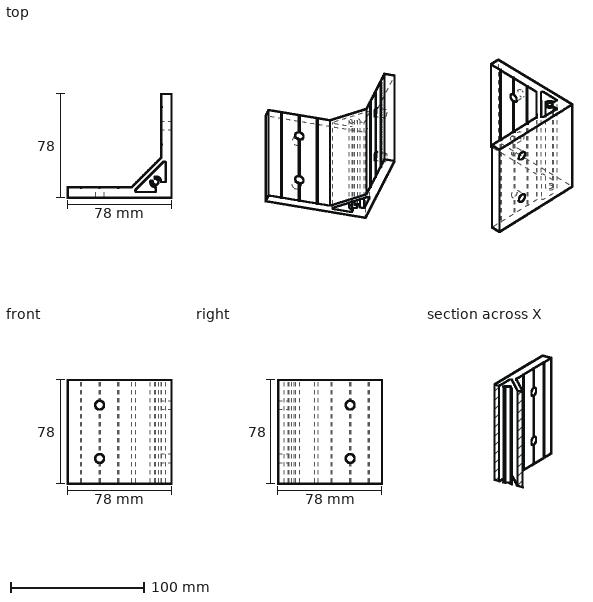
import cadquery as cq
import math

leg_length = 78.0
height = 78.0
leg_thickness = 8.0

web_reach = 30.0
web_thickness = 3.5
cavity_wall = 4.5
cavity_tip_radius = 1.0
corner_block = 12.0

channel_inner_radius = 2.1
channel_outer_radius = 4.1

hole_diameter = 6.5
hole_from_tip = 24.0
hole_spacing = 40.0
groove_spacing = 14.0
groove_width = 1.0
groove_depth = 0.5


def extrude_full(sketch):
    """Extrude a sketch over the whole height of the bracket."""
    return sketch.extrude(height)


def mirror_legs(shape):
    """Swap the two legs: reflect in the diagonal plane through the outer corner."""
    return shape.rotate((0, 0, 0), (0, 0, 1), 90).mirror("YZ")


def make_angle():
    outline = [
        (0, 0),
        (leg_length, 0),
        (leg_length, leg_thickness),
        (web_reach, leg_thickness),
        (leg_thickness, web_reach),
        (leg_thickness, leg_length),
        (0, leg_length),
    ]
    return extrude_full(cq.Workplane("XY").polyline(outline).close())


def make_cavity():
    web_inner_sum = web_reach + leg_thickness - web_thickness * math.sqrt(2)
    far = web_inner_sum - cavity_wall
    triangle = extrude_full(
        cq.Workplane("XY")
        .polyline([(cavity_wall, cavity_wall), (far, cavity_wall), (cavity_wall, far)])
        .close()
    )
    triangle = triangle.edges("|Z and (>X or >Y)").fillet(cavity_tip_radius)
    block = cq.Workplane("XY").box(corner_block, corner_block, height, centered=False)
    return triangle.cut(block)


def make_channel():
    """Three-quarter ring with rounded lips, open towards the web."""
    mid_radius = (channel_inner_radius + channel_outer_radius) / 2
    lip_radius = (channel_outer_radius - channel_inner_radius) / 2
    center = (corner_block, corner_block)
    ring = extrude_full(
        cq.Workplane("XY").center(*center).circle(channel_outer_radius).circle(channel_inner_radius)
    )
    opening = (
        cq.Workplane("XY")
        .box(channel_outer_radius, channel_outer_radius, height, centered=False)
        .translate((corner_block, corner_block, 0))
    )
    lips = extrude_full(
        cq.Workplane("XY").center(*center).pushPoints([(mid_radius, 0), (0, mid_radius)]).circle(lip_radius)
    )
    return ring.cut(opening).union(lips)


def make_channel_bore():
    return extrude_full(cq.Workplane("XY").center(corner_block, corner_block).circle(channel_inner_radius))


def make_leg_cuts():
    """Bolt holes and V-grooves of the leg along X."""
    hole_x = leg_length - hole_from_tip
    cuts = (
        cq.Workplane("XZ", origin=(hole_x, 0, height / 2))
        .rarray(1, hole_spacing, 1, 2)
        .circle(hole_diameter / 2)
        .extrude(-leg_thickness)
    )
    for step in (-1, 0, 1):
        x = hole_x + step * groove_spacing
        groove = extrude_full(
            cq.Workplane("XY")
            .polyline(
                [
                    (x - groove_width / 2, leg_thickness),
                    (x, leg_thickness - groove_depth),
                    (x + groove_width / 2, leg_thickness),
                ]
            )
            .close()
        )
        cuts = cuts.union(groove)
    return cuts


leg_cuts = make_leg_cuts()
bracket = make_angle().cut(make_cavity()).union(make_channel()).cut(make_channel_bore())
bracket = bracket.cut(leg_cuts).cut(mirror_legs(leg_cuts))

result = bracket.mirror("YZ").translate((leg_length, 0, 0))